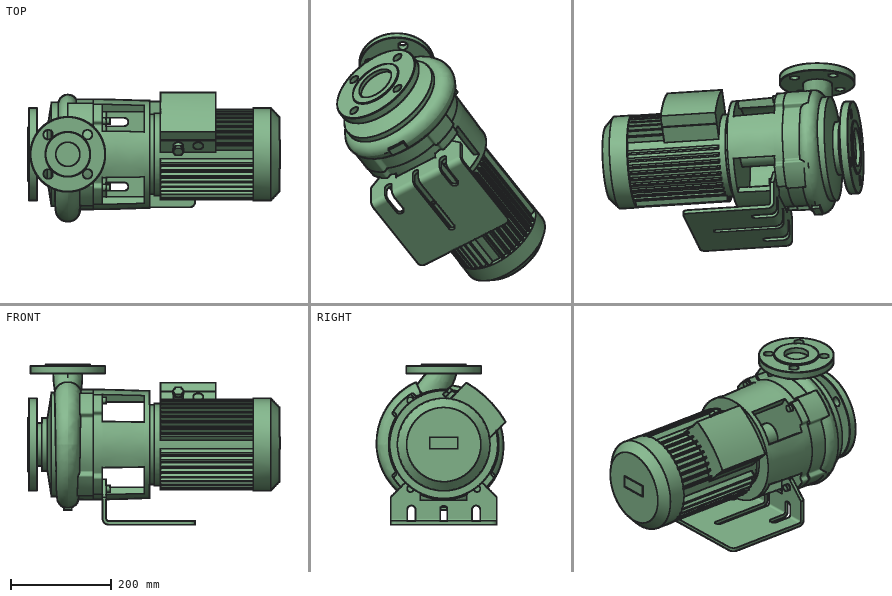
import cadquery as cq
import math


DISCHARGE_X = 80.0
OVERALL_HEIGHT = 320.0
CENTRE_HEIGHT = OVERALL_HEIGHT / 2
FLANGE_HOLE_D = 19.0
EDGE_BEVEL = 1.0
SUCTION_FLANGE_D = 185.0
SUCTION_FACE_D = 106.5
SUCTION_FACE_H = 2.0
SUCTION_FLANGE_END = 18.5
SUCTION_BORE_D = 76.0
SUCTION_BORE_DEPTH = 8.0
SUCTION_BOLT_CIRCLE = 145.0
SUCTION_NECK_D = 86.0
SUCTION_HUB_START = 28.0
SUCTION_HUB_D = 106.5
COVER_CONE_START = 39.5
COVER_START = 47.5
COVER_D = 208.0
DISCHARGE_FLANGE_D = 150.0
DISCHARGE_FACE_D = 88.0
DISCHARGE_FACE_H = 3.0
DISCHARGE_FLANGE_T = 15.5
DISCHARGE_BORE_D = 48.5
DISCHARGE_BORE_DEPTH = 10.5
DISCHARGE_BOLT_CIRCLE = 111.0

VOLUTE_START_R = 24.5
VOLUTE_END_R = 19.0
VOLUTE_START_CENTRE = 110.0
VOLUTE_END_CENTRE = 100.5
VOLUTE_TAPER_ANGLE = 180
VOLUTE_TAIL_ANGLE = 285
VOLUTE_STEP = 15
OUTLET_STEP = 11
OUTLET_ARC_ANGLE = 66
OUTLET_ARC_R = 26.5
NECK_START_Y = -40.5
NECK_START_Z = 98.5
NECK_START_R = 23.5
NECK_START_SLOPE = 40
NECK_MIDDLE_Y = -11.0
NECK_MIDDLE_Z = 126.0
NECK_MIDDLE_R = 28.5
NECK_MIDDLE_SLOPE = 58
NECK_END_Y = -3.5
NECK_END_R = 29.0

DRAIN_X_SIZE = 16.0
DRAIN_Y_SIZE = 35.5
DRAIN_Y = -3.0
DRAIN_BOTTOM = 131.0
DRAIN_HEIGHT = 15.0

JOINT_X = 131.0
JOINT_D = 220.0
PAD_D = 241.0
CASING_PAD_WIDTH = 58.5
CASING_PAD_FILLET = 3.5
LANTERN_PAD_WIDTH = 49.0
LANTERN_PAD_FILLET = 4.0
DIAGONALS = (45, 135, 225, 315)

LANTERN_FLANGE_END = 149.0
LANTERN_PLATE_START = 232.5
LANTERN_END = 243.5
LANTERN_PLATE_D = 215.0
LANTERN_INNER_D = 185.5
ARM_HALF_WIDTH = 46.5
WINDOW_WALL_ANGLE = 15

BOLT_Y = 66.5
BOLT_Z = 88.0
BOLT_HEAD_D = 13.0
BOLT_HEAD_H = 7.5
BOLT_SHANK_D = 9.0
BOLT_GRIP_END = 116.0

FOOT_T = 7.5
FOOT_WIDTH = 211.5
FOOT_END = 334.0
FOOT_TOP = -69.0
FOOT_CHAMFER = 36.0
FOOT_BEND_R = 12.0
FOOT_CORNER_R = 11.0
FOOT_ARM_GAP_BOTTOM = -111.0
FOOT_SLOT_TOP = -122.0
OUTER_SLOT_WIDTH = 16.0
OUTER_SLOT_Y = 64.5
OUTER_SLOT_END = 200.5
MIDDLE_SLOT_WIDTH = 13.0
MIDDLE_SLOT_END = 290.0

SHAFT_D = 50.0
MOTOR_SPIGOT_D = 160.0
MOTOR_CORE_D = 165.0
MOTOR_CORE_START = 252.0
FIN_START = 264.5
FIN_END = 449.5
FIN_OUTER_D = 183.5
FIN_T = 3.0
FIN_PITCH = 12.5
FINS_EACH_SIDE = 4
FAN_COVER_D = 185.0
FAN_COVER_CONE_START = 485.0
FAN_COVER_END = 502.5
FAN_COVER_END_D = 148.0
END_PLATE_Y_SIZE = 56.5
END_PLATE_Z_SIZE = 23.5
END_PLATE_Z = 3.0
OVERALL_LENGTH = 504.0

BOX_LENGTH = 111.0
BOX_WIDTH = 111.0
BOX_SHOULDER = 119.5
BOX_CROWN = 126.5
LID_DEPTH = 25.0
LID_GROOVE = 1.0
CABLE_ENTRY_HEIGHT = 79.0
CABLE_ENTRY_D = 20.0
KNOCKOUT_X = 340.0
KNOCKOUT_DEPTH = 0.5
GLAND_X = 300.5
GLAND_STEM = 9.0
GLAND_HEAD = 7.5
GLAND_HEX_D = 22.5
BOX_TILT = -45


def x_cylinder(diameter, start, end):
    """Cylinder on the shaft axis."""
    return cq.Workplane("YZ", origin=(start, 0, 0)).circle(diameter / 2).extrude(end - start)


def about_shaft(shape, angle):
    return shape.rotate((0, 0, 0), (1, 0, 0), angle)


def padded_disc(start, end, pad_width, fillet):
    """Flange disc with four rounded pads on its diagonals."""
    length = end - start
    disc = about_shaft(x_cylinder(JOINT_D, start, end), DIAGONALS[0])
    bars = cq.Workplane("YZ", origin=(start, 0, 0))
    bars = bars.rect(pad_width, PAD_D).extrude(length).union(bars.rect(PAD_D, pad_width).extrude(length))
    pads = about_shaft(bars, DIAGONALS[0]).intersect(x_cylinder(PAD_D, start, end))
    return disc.union(pads).edges("|X").fillet(fillet)


def volute_section(y, z, slope, radius):
    """Circular wire in the volute plane, square to a path that rises at `slope` degrees from +Y."""
    direction = cq.Vector(0, math.cos(math.radians(slope)), math.sin(math.radians(slope)))
    return cq.Wire.makeCircle(radius, cq.Vector(DISCHARGE_X, y, z), direction)


def spiral_section(angle):
    """Section `angle` degrees on from the -Y side, turning by way of -Z to the thin end."""
    fraction = min(angle / VOLUTE_TAPER_ANGLE, 1)
    radius = VOLUTE_START_R + fraction * (VOLUTE_END_R - VOLUTE_START_R)
    centre = VOLUTE_START_CENTRE + fraction * (VOLUTE_END_CENTRE - VOLUTE_START_CENTRE)
    turn = math.radians(angle)
    return volute_section(-centre * math.cos(turn), -centre * math.sin(turn), 90 + angle, radius)


def outlet_section(angle):
    """Section `angle` degrees on from the -Y side, turning up towards the outlet."""
    radius = VOLUTE_START_R + angle / OUTLET_ARC_ANGLE * (OUTLET_ARC_R - VOLUTE_START_R)
    turn = math.radians(angle)
    y = -VOLUTE_START_CENTRE * math.cos(turn)
    z = VOLUTE_START_CENTRE * math.sin(turn)
    return volute_section(y, z, 90 - angle, radius)


def make_volute():
    flange_underside = CENTRE_HEIGHT - DISCHARGE_FACE_H - DISCHARGE_FLANGE_T
    spiral = [spiral_section(a) for a in range(VOLUTE_TAIL_ANGLE, -1, -VOLUTE_STEP)]
    outlet = [outlet_section(a) for a in range(0, OUTLET_ARC_ANGLE + 1, OUTLET_STEP)]
    neck = [
        volute_section(NECK_START_Y, NECK_START_Z, NECK_START_SLOPE, NECK_START_R),
        volute_section(NECK_MIDDLE_Y, NECK_MIDDLE_Z, NECK_MIDDLE_SLOPE, NECK_MIDDLE_R),
        volute_section(NECK_END_Y, flange_underside, 90, NECK_END_R),
    ]
    spiral_tube = cq.Workplane(cq.Solid.makeLoft(spiral))
    outlet_tube = cq.Workplane(cq.Solid.makeLoft(outlet))
    neck_tube = cq.Workplane(cq.Solid.makeLoft(neck))
    return spiral_tube.union(outlet_tube).union(neck_tube)


def make_suction_side():
    """Suction flange, neck and front cover, turned about the shaft."""
    profile = [
        (0, 0),
        (0, SUCTION_FACE_D / 2),
        (SUCTION_FACE_H, SUCTION_FACE_D / 2 + EDGE_BEVEL),
        (SUCTION_FACE_H, SUCTION_FLANGE_D / 2 - EDGE_BEVEL),
        (SUCTION_FACE_H + EDGE_BEVEL, SUCTION_FLANGE_D / 2),
        (SUCTION_FLANGE_END - EDGE_BEVEL, SUCTION_FLANGE_D / 2),
        (SUCTION_FLANGE_END, SUCTION_FLANGE_D / 2 - EDGE_BEVEL),
        (SUCTION_FLANGE_END, SUCTION_NECK_D / 2),
        (SUCTION_HUB_START, SUCTION_NECK_D / 2),
        (SUCTION_HUB_START, SUCTION_HUB_D / 2),
        (COVER_CONE_START, SUCTION_HUB_D / 2),
        (COVER_START, COVER_D / 2),
        (DISCHARGE_X, COVER_D / 2),
        (DISCHARGE_X, 0),
    ]
    body = cq.Workplane("XY").polyline(profile).close().revolve(360, (0, 0, 0), (1, 0, 0))
    bore = x_cylinder(SUCTION_BORE_D, 0, SUCTION_BORE_DEPTH)
    holes = (
        cq.Workplane("YZ")
        .polarArray(SUCTION_BOLT_CIRCLE / 2, DIAGONALS[0], 360, len(DIAGONALS))
        .circle(FLANGE_HOLE_D / 2)
        .extrude(SUCTION_FLANGE_END)
    )
    return body.cut(bore).cut(holes)


def make_discharge_flange():
    face_base = CENTRE_HEIGHT - DISCHARGE_FACE_H
    flange = cq.Workplane("XY", origin=(DISCHARGE_X, 0, face_base))
    flange = flange.circle(DISCHARGE_FLANGE_D / 2).extrude(-DISCHARGE_FLANGE_T)
    flange = flange.faces(">Z or <Z").chamfer(EDGE_BEVEL)
    face = (
        cq.Workplane("XY", origin=(DISCHARGE_X, 0, face_base))
        .circle(DISCHARGE_FACE_D / 2 + EDGE_BEVEL)
        .workplane(offset=DISCHARGE_FACE_H)
        .circle(DISCHARGE_FACE_D / 2)
        .loft()
    )
    return flange.union(face)


def cut_discharge(casing):
    top = cq.Workplane("XY", origin=(DISCHARGE_X, 0, CENTRE_HEIGHT))
    bore = top.circle(DISCHARGE_BORE_D / 2).extrude(-DISCHARGE_BORE_DEPTH)
    holes = (
        top.polarArray(DISCHARGE_BOLT_CIRCLE / 2, DIAGONALS[0], 360, len(DIAGONALS))
        .circle(FLANGE_HOLE_D / 2)
        .extrude(-DISCHARGE_FACE_H - DISCHARGE_FLANGE_T)
    )
    return casing.cut(bore).cut(holes)


def make_drain_boss():
    return cq.Workplane("XY", origin=(DISCHARGE_X, DRAIN_Y, -DRAIN_BOTTOM)).rect(
        DRAIN_X_SIZE, DRAIN_Y_SIZE
    ).extrude(DRAIN_HEIGHT)


def make_casing():
    casing = make_suction_side()
    casing = casing.union(padded_disc(DISCHARGE_X, JOINT_X, CASING_PAD_WIDTH, CASING_PAD_FILLET))
    casing = casing.union(make_volute()).union(make_drain_boss()).union(make_discharge_flange())
    return cut_discharge(casing)


def make_lantern_windows():
    """Four tapered windows on the diagonals, which leave the four arms between them."""
    outer_r = JOINT_D / 2
    edge_angle = math.radians(45) - math.asin(ARM_HALF_WIDTH / outer_r)
    edge_depth = outer_r * math.cos(edge_angle)
    half_width = outer_r * math.sin(edge_angle)
    lean = math.tan(math.radians(WINDOW_WALL_ANGLE))
    half_outer = half_width + (outer_r - edge_depth) * lean
    half_inner = half_width - edge_depth * lean
    outline = [(-half_inner, 0), (half_inner, 0), (half_outer, outer_r), (-half_outer, outer_r)]
    window = (
        cq.Workplane("YZ", origin=(LANTERN_FLANGE_END, 0, 0))
        .polyline(outline)
        .close()
        .extrude(LANTERN_PLATE_START - LANTERN_FLANGE_END)
    )
    return [about_shaft(window, angle) for angle in DIAGONALS]


def make_lantern():
    arms = (
        cq.Workplane("YZ", origin=(LANTERN_FLANGE_END, 0, 0))
        .circle(JOINT_D / 2)
        .workplane(offset=LANTERN_PLATE_START - LANTERN_FLANGE_END)
        .circle(LANTERN_PLATE_D / 2)
        .loft()
        .cut(x_cylinder(LANTERN_INNER_D, LANTERN_FLANGE_END, LANTERN_PLATE_START))
    )
    for window in make_lantern_windows():
        arms = arms.cut(window)
    plate = x_cylinder(LANTERN_PLATE_D, LANTERN_PLATE_START, LANTERN_END)
    plate = plate.cut(x_cylinder(SHAFT_D, LANTERN_PLATE_START, LANTERN_END))
    flange = padded_disc(JOINT_X, LANTERN_FLANGE_END, LANTERN_PAD_WIDTH, LANTERN_PAD_FILLET)
    return flange.union(arms).union(plate)


def make_bolt(y, z):
    """Bolt into the casing; the two lower bolts also clamp the foot."""
    seat = LANTERN_FLANGE_END + (FOOT_T if z < 0 else 0)
    plane = cq.Workplane("YZ", origin=(seat, y, z))
    head = plane.circle(BOLT_HEAD_D / 2).extrude(BOLT_HEAD_H)
    return head.union(plane.circle(BOLT_SHANK_D / 2).extrude(BOLT_GRIP_END - seat))


def foot_slot(y, width, end):
    """Slot that runs round the bend, with a rounded end in each leg."""
    upright = (
        cq.Workplane("YZ", origin=(LANTERN_FLANGE_END, y, 0))
        .moveTo(width / 2, -CENTRE_HEIGHT)
        .lineTo(width / 2, FOOT_SLOT_TOP - width / 2)
        .threePointArc((0, FOOT_SLOT_TOP), (-width / 2, FOOT_SLOT_TOP - width / 2))
        .lineTo(-width / 2, -CENTRE_HEIGHT)
        .close()
        .extrude(FOOT_BEND_R)
    )
    base = (
        cq.Workplane("XY", origin=(0, y, -CENTRE_HEIGHT))
        .moveTo(LANTERN_FLANGE_END, width / 2)
        .lineTo(end - width / 2, width / 2)
        .threePointArc((end, 0), (end - width / 2, -width / 2))
        .lineTo(LANTERN_FLANGE_END, -width / 2)
        .close()
        .extrude(FOOT_BEND_R)
    )
    return upright.union(base)


def make_foot():
    """Bent plate: an upright leg bolted to the lantern and a base that runs under the motor."""
    bottom = -CENTRE_HEIGHT
    inner_x = LANTERN_FLANGE_END + FOOT_T
    inner_z = bottom + FOOT_T
    outline = [
        (LANTERN_FLANGE_END, FOOT_TOP),
        (LANTERN_FLANGE_END, bottom),
        (FOOT_END, bottom),
        (FOOT_END, inner_z),
        (inner_x, inner_z),
        (inner_x, FOOT_TOP),
    ]
    foot = cq.Workplane("XZ").polyline(outline).close().extrude(FOOT_WIDTH / 2, both=True)
    foot = foot.edges(cq.NearestToPointSelector((LANTERN_FLANGE_END, 0, bottom))).fillet(FOOT_BEND_R)
    foot = foot.edges(cq.NearestToPointSelector((inner_x, 0, inner_z))).fillet(FOOT_BEND_R - FOOT_T)
    foot = foot.faces(">X").edges("|Z").fillet(FOOT_CORNER_R)
    foot = foot.faces(">Z").edges("|X").chamfer(FOOT_CHAMFER)
    arm_gap = cq.Workplane("XY", origin=(LANTERN_FLANGE_END, 0, FOOT_ARM_GAP_BOTTOM)).box(
        FOOT_T, 2 * ARM_HALF_WIDTH, FOOT_TOP - FOOT_ARM_GAP_BOTTOM, centered=(False, True, False)
    )
    foot = foot.cut(arm_gap)
    for y in (-OUTER_SLOT_Y, OUTER_SLOT_Y):
        foot = foot.cut(foot_slot(y, OUTER_SLOT_WIDTH, OUTER_SLOT_END))
    return foot.cut(foot_slot(0, MIDDLE_SLOT_WIDTH, MIDDLE_SLOT_END))


def make_fins():
    """Four groups of parallel fins, each group pointing out along a diagonal."""
    fin = cq.Workplane("YZ", origin=(FIN_START, 0, 0))
    row = [(i * FIN_PITCH, FIN_OUTER_D / 4) for i in range(-FINS_EACH_SIDE, FINS_EACH_SIDE + 1)]
    group = fin.pushPoints(row).rect(FIN_T, FIN_OUTER_D / 2).extrude(FIN_END - FIN_START)
    group = group.intersect(x_cylinder(FIN_OUTER_D, FIN_START, FIN_END))
    return [about_shaft(group, angle) for angle in DIAGONALS]


def box_envelope():
    """Upright outline of the terminal box, reaching down to the shaft axis."""
    half = BOX_WIDTH / 2
    return (
        cq.Workplane("YZ", origin=(FIN_START, 0, 0))
        .moveTo(-half, 0)
        .lineTo(-half, BOX_SHOULDER)
        .threePointArc((0, BOX_CROWN), (half, BOX_SHOULDER))
        .lineTo(half, 0)
        .close()
        .extrude(BOX_LENGTH)
    )


def make_motor():
    motor = x_cylinder(MOTOR_CORE_D, MOTOR_CORE_START, FIN_END)
    box_space = about_shaft(box_envelope(), BOX_TILT)
    for group in make_fins():
        motor = motor.union(group.cut(box_space))
    fan_cover = (
        cq.Workplane("XY")
        .polyline([
            (FIN_END, 0),
            (FIN_END, FAN_COVER_D / 2),
            (FAN_COVER_CONE_START, FAN_COVER_D / 2),
            (FAN_COVER_END, FAN_COVER_END_D / 2),
            (FAN_COVER_END, 0),
        ])
        .close()
        .revolve(360, (0, 0, 0), (1, 0, 0))
    )
    end_plate = (
        cq.Workplane("YZ", origin=(FAN_COVER_END, 0, END_PLATE_Z))
        .rect(END_PLATE_Y_SIZE, END_PLATE_Z_SIZE)
        .extrude(OVERALL_LENGTH - FAN_COVER_END)
    )
    motor = motor.union(fan_cover).union(end_plate)
    motor = motor.union(x_cylinder(MOTOR_SPIGOT_D, LANTERN_END, MOTOR_CORE_START))
    return motor.union(x_cylinder(SHAFT_D, LANTERN_FLANGE_END, LANTERN_END))


def make_cable_gland(wall_y):
    """Round stem and hexagon head that stand out of the side wall at y = wall_y."""
    wall = cq.Workplane("XZ", origin=(GLAND_X, wall_y, CABLE_ENTRY_HEIGHT))
    stem = wall.circle(CABLE_ENTRY_D / 2).extrude(GLAND_STEM)
    return stem.union(wall.workplane(offset=GLAND_STEM).polygon(6, GLAND_HEX_D).extrude(GLAND_HEAD))


def make_terminal_box():
    box = box_envelope().cut(x_cylinder(MOTOR_CORE_D, FIN_START, FIN_END))
    cable_wall = -BOX_WIDTH / 2
    parting = cq.Workplane("XY", origin=(FIN_START, 0, BOX_SHOULDER - LID_DEPTH))
    groove = parting.box(BOX_LENGTH, BOX_WIDTH, LID_GROOVE, centered=(False, True, False))
    core = parting.box(
        BOX_LENGTH, BOX_WIDTH - 2 * LID_GROOVE, LID_GROOVE, centered=(False, True, False)
    )
    knockout = (
        cq.Workplane("XZ", origin=(KNOCKOUT_X, cable_wall, CABLE_ENTRY_HEIGHT))
        .circle(CABLE_ENTRY_D / 2)
        .extrude(-KNOCKOUT_DEPTH)
    )
    box = box.cut(groove.cut(core)).cut(knockout).union(make_cable_gland(cable_wall))
    return about_shaft(box, BOX_TILT)


casing = make_casing()
lantern = make_lantern()
foot = make_foot()
bolts = [make_bolt(y, z) for y in (-BOLT_Y, BOLT_Y) for z in (-BOLT_Z, BOLT_Z)]
for bolt in bolts:
    casing = casing.cut(bolt)
    lantern = lantern.cut(bolt)
    foot = foot.cut(bolt)
motor = make_motor()
terminal_box = make_terminal_box()

result = cq.Compound.makeCompound([
    casing.val(),
    lantern.val(),
    foot.val(),
    *[bolt.val() for bolt in bolts],
    motor.val(),
    terminal_box.val(),
])